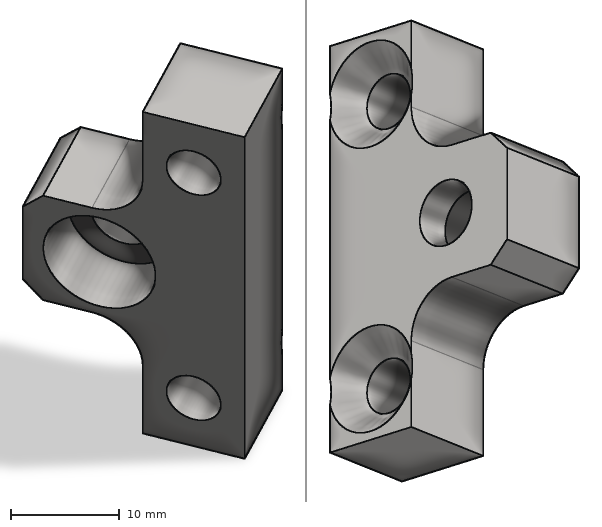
import cadquery as cq

height = 40.0
thickness = 10.0
total_width = 21.75
bar_width = 10.0

lug_height = 13.0
lug_chamfer = 2.0
fillet_radius = 5.0

bore_x = 7.5
bore_diameter = 6.4
counterbore_diameter = 11.0
counterbore_depth = 6.5

mount_x = total_width - bar_width / 2
mount_spacing = 28.0
mount_diameter = 5.3
countersink_diameter = 10.3
countersink_angle = 90.0

bar_left = total_width - bar_width


def make_body():
    """Upright bar with a chamfered lug blended in by concave fillets."""
    bar = cq.Workplane("XY").box(bar_width, thickness, height, centered=(False, False, True))
    bar = bar.translate((bar_left, 0, 0))
    lug = cq.Workplane("XY").box(total_width, thickness, lug_height, centered=(False, False, True))
    lug = lug.edges("|Y and <X").chamfer(lug_chamfer)
    margin = 0.4
    inner_corners = cq.selectors.BoxSelector(
        (bar_left - margin, -margin, -lug_height / 2 - margin),
        (bar_left + margin, thickness + margin, lug_height / 2 + margin),
    )
    return bar.union(lug).edges("|Y").edges(inner_corners).fillet(fillet_radius)


def cut_main_bore(body):
    """Through bore, counterbored from the front (-Y) face."""
    return (
        body.faces("<Y")
        .workplane(origin=(bore_x, 0, 0))
        .cboreHole(bore_diameter, counterbore_diameter, counterbore_depth)
    )


def cut_mounting_holes(body):
    """Two through holes, countersunk from the back (+Y) face."""
    return (
        body.faces(">Y")
        .workplane(origin=(mount_x, thickness, 0))
        .pushPoints([(0, -mount_spacing / 2), (0, mount_spacing / 2)])
        .cskHole(mount_diameter, countersink_diameter, countersink_angle)
    )


result = cut_mounting_holes(cut_main_bore(make_body()))